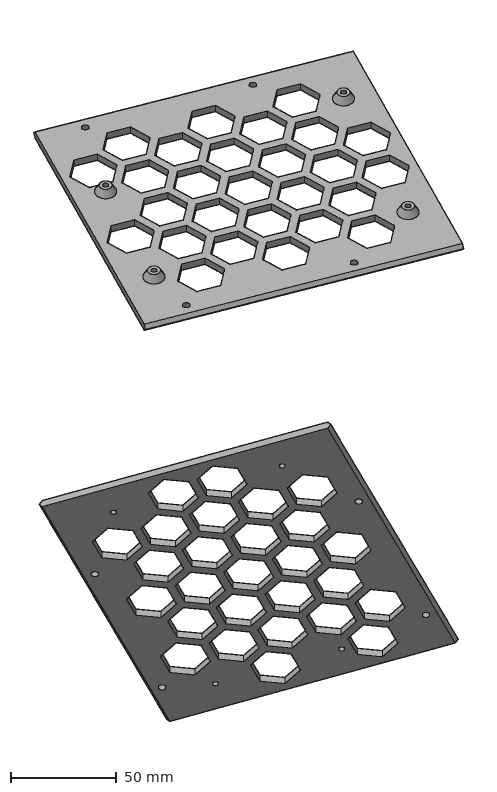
import cadquery as cq
import math

length = 160.8
width = 148.6
plate_thickness = 4.0
overall_height = 8.0
edge_bevel = 1.6

hex_sides = 6
hex_corner_radius = 11.9
hex_wall = 4.2
hex_pitch = hex_corner_radius * math.sqrt(3) + hex_wall
row_pitch = hex_pitch * math.sqrt(3) / 2

full_row = (-2, -1, 0, 1, 2)
offset_row = (-1.5, -0.5, 0.5, 1.5)
honeycomb_rows = {
    3: (-0.5, 0.5),
    2: full_row,
    1: offset_row,
    0: full_row,
    -1: offset_row,
    -2: full_row,
    -3: (-1.5, 0.5),
}

standoff_height = overall_height - plate_thickness
standoff_base_diameter = 10.5
standoff_top_diameter = 6.1
standoff_hole_diameter = 2.7
standoff_x = 43.0
standoff_y = 64.2
standoff_places = [
    (-standoff_x, standoff_y),
    (standoff_x, standoff_y),
    (-standoff_x / 2, -standoff_y),
    (standoff_x, -standoff_y),
]

mount_hole_diameter = 3.5
mount_hole_x = 67.2
mount_hole_rear_y = 27.7
mount_hole_front_y = -57.1
mount_hole_places = [
    (x, y)
    for x in (-mount_hole_x, mount_hole_x)
    for y in (mount_hole_rear_y, mount_hole_front_y)
]


def make_plate():
    """Flat plate whose two X sides come to a ridge at mid thickness."""
    ridge_x = width / 2
    face_x = ridge_x - edge_bevel
    profile = [
        (-face_x, 0),
        (face_x, 0),
        (ridge_x, plate_thickness / 2),
        (face_x, plate_thickness),
        (-face_x, plate_thickness),
        (-ridge_x, plate_thickness / 2),
    ]
    return cq.Workplane("XZ").polyline(profile).close().extrude(length / 2, both=True)


def make_honeycomb():
    """Hexagonal prisms that cut the openings."""
    centres = [
        (column * hex_pitch, row * row_pitch)
        for row, columns in honeycomb_rows.items()
        for column in columns
    ]
    corners = []
    for corner in range(hex_sides):
        angle = math.pi / 2 + corner * 2 * math.pi / hex_sides
        corners.append((hex_corner_radius * math.cos(angle), hex_corner_radius * math.sin(angle)))
    hexagon = cq.Workplane("XY").polyline(corners).close().extrude(plate_thickness).val()
    return cq.Workplane("XY").pushPoints(centres).eachpoint(lambda place: hexagon.moved(place))


def make_standoffs():
    """Solid truncated cones standing on the top face."""
    cone = cq.Solid.makeCone(standoff_base_diameter / 2, standoff_top_diameter / 2, standoff_height)
    top_face = cq.Workplane("XY", origin=(0, 0, plate_thickness))
    return top_face.pushPoints(standoff_places).eachpoint(lambda place: cone.moved(place))


def make_holes(places, diameter):
    """Round cutters through the full height of the part."""
    return cq.Workplane("XY").pushPoints(places).circle(diameter / 2).extrude(overall_height)


result = (
    make_plate()
    .cut(make_honeycomb())
    .union(make_standoffs())
    .cut(make_holes(standoff_places, standoff_hole_diameter))
    .cut(make_holes(mount_hole_places, mount_hole_diameter))
)